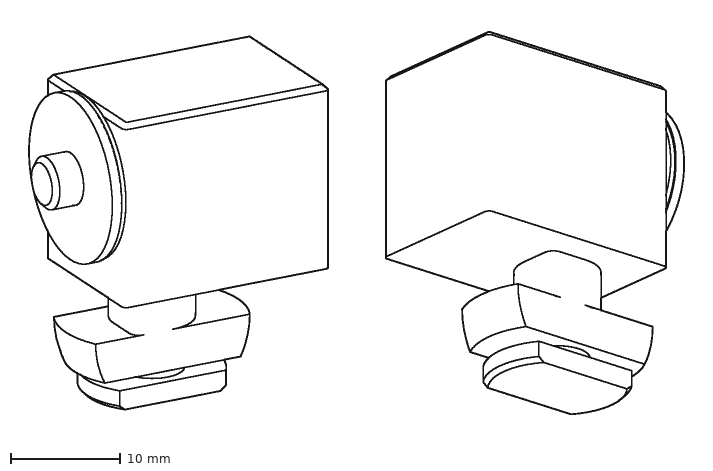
import cadquery as cq
import math


BLOCK_WIDTH = 15.0
BLOCK_DEPTH = 21.5
BLOCK_HEIGHT = 18.0
BLOCK_EDGE = 0.5
CORNER_GAP = 0.003

WASHER_DIAMETER = 16.0
WASHER_RISE = 0.5
AXIS_HEIGHT = BLOCK_HEIGHT + WASHER_RISE - WASHER_DIAMETER / 2
WASHER_RIM = 1.0
STEP_DIAMETER = 15.7
STEP_THICKNESS = 0.5
WASHER_THICKNESS = STEP_THICKNESS + WASHER_RIM
PIN_DIAMETER = 5.0
PIN_PROJECTION = 3.0
PIN_LENGTH = WASHER_THICKNESS + PIN_PROJECTION
PIN_CHAMFER = 0.5

FOOT_SETBACK = 7.0
FOOT_WIDTH = 8.0
STEM_HEIGHT = 4.5
STEM_CORNER_RADIUS = 1.0
HEAD_HEIGHT = 4.0
HEAD_TOP_DIAMETER = 18.0
HEAD_BOTTOM_DIAMETER = 16.3
NECK_DIAMETER = 6.0
NECK_HEIGHT = 1.05
PLATE_DIAMETER = 13.68
PLATE_THICKNESS = 1.95
PLATE_CHAMFER = 0.45


def front_cylinder(diameter, back_y, length):
    """Cylinder on the pin axis, running forward (-Y) from back_y."""
    plane = cq.Workplane("XZ", origin=(0, back_y, AXIS_HEIGHT))
    return plane.circle(diameter / 2).extrude(length)


def make_block():
    block = cq.Workplane("XY").box(
        BLOCK_WIDTH, BLOCK_DEPTH, BLOCK_HEIGHT, centered=(True, False, False)
    )
    block = block.edges("|Z").fillet(BLOCK_EDGE)
    return block.faces(">Z").chamfer(BLOCK_EDGE - CORNER_GAP)


def make_pin():
    pin = front_cylinder(PIN_DIAMETER, 0, PIN_LENGTH)
    return pin.faces("<Y").edges().chamfer(PIN_CHAMFER)


def make_washer():
    step = front_cylinder(STEP_DIAMETER, 0, STEP_THICKNESS)
    rim = front_cylinder(WASHER_DIAMETER, -STEP_THICKNESS, WASHER_RIM)
    bore = front_cylinder(PIN_DIAMETER, 0, WASHER_THICKNESS)
    return step.union(rim).cut(bore)


def make_stem():
    """Cylinder squared off in two opposite quadrants, so it can turn only one way."""
    radius = FOOT_WIDTH / 2
    stem = cq.Workplane("XY").circle(radius).extrude(-STEM_HEIGHT)
    for side in (1, -1):
        corner = (
            cq.Workplane("XY")
            .center(side * radius / 2, -side * radius / 2)
            .rect(radius, radius)
            .extrude(-STEM_HEIGHT)
        )
        outer_edge = ">(1,-1,0)" if side > 0 else "<(1,-1,0)"
        corner = corner.edges("|Z").edges(outer_edge).fillet(STEM_CORNER_RADIUS)
        stem = stem.union(corner)
    return stem


def make_heads():
    """Turned head, neck and plate, with two flat sides."""
    head_top = -STEM_HEIGHT
    head_bottom = head_top - HEAD_HEIGHT
    plate_top = head_bottom - NECK_HEIGHT
    plate_bottom = plate_top - PLATE_THICKNESS
    top_radius = HEAD_TOP_DIAMETER / 2
    bottom_radius = HEAD_BOTTOM_DIAMETER / 2
    plate_radius = PLATE_DIAMETER / 2

    inset = top_radius - bottom_radius
    flank_radius = (HEAD_HEIGHT**2 + inset**2) / (2 * inset)
    half_angle = math.asin(HEAD_HEIGHT / flank_radius) / 2
    flank_middle = (
        top_radius - flank_radius * (1 - math.cos(half_angle)),
        head_top - flank_radius * math.sin(half_angle),
    )

    turned = (
        cq.Workplane("XZ")
        .moveTo(0, head_top)
        .lineTo(top_radius, head_top)
        .threePointArc(flank_middle, (bottom_radius, head_bottom))
        .lineTo(NECK_DIAMETER / 2, head_bottom)
        .lineTo(NECK_DIAMETER / 2, plate_top)
        .lineTo(plate_radius, plate_top)
        .lineTo(plate_radius, plate_bottom + PLATE_CHAMFER)
        .lineTo(plate_radius - PLATE_CHAMFER, plate_bottom)
        .lineTo(0, plate_bottom)
        .close()
        .revolve(360, (0, 0, 0), (0, 1, 0))
    )
    flat_sides = (
        cq.Workplane("XY", origin=(0, 0, plate_bottom))
        .rect(FOOT_WIDTH, HEAD_TOP_DIAMETER)
        .extrude(head_top - plate_bottom)
    )
    return turned.intersect(flat_sides)


def make_foot():
    return make_stem().union(make_heads()).translate((0, FOOT_SETBACK, 0))


block = make_block()
washer = make_washer()
pin = make_pin()
foot = make_foot()

result = cq.Compound.makeCompound([block.val(), washer.val(), pin.val(), foot.val()])